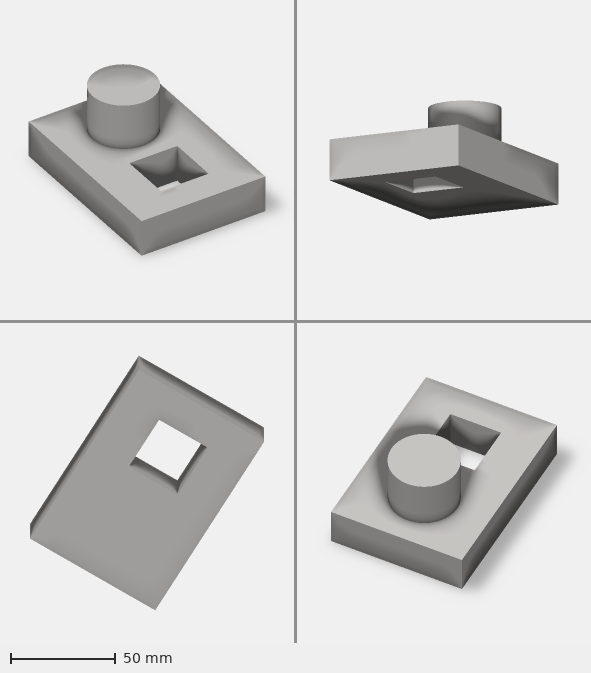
import cadquery as cq

plate_length = 100.0
plate_width = 70.0
plate_thickness = 20.0
mid_width = plate_width / 2

boss_diameter = 35.0
boss_height = 25.0
boss_center_x = 29.2

window_length = 27.8
window_width = 27.1
window_center_x = 69.5

plate = cq.Workplane("XY").box(plate_length, plate_width, plate_thickness, centered=False)

boss = (
    cq.Workplane("XY", origin=(boss_center_x, mid_width, plate_thickness))
    .circle(boss_diameter / 2)
    .extrude(boss_height)
)

window = (
    cq.Workplane("XY", origin=(window_center_x, mid_width, 0))
    .rect(window_length, window_width)
    .extrude(plate_thickness)
)

result = plate.union(boss).cut(window)